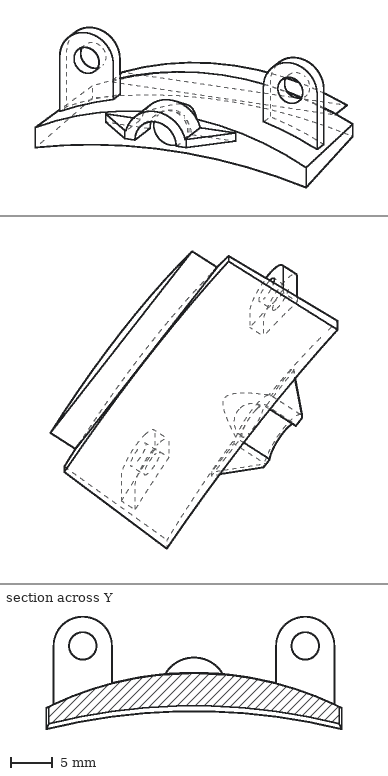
import cadquery as cq

body_length = 15.45
front_half_width = 17.65
front_corner_bottom = 0.0
front_corner_top = 2.55
front_crown = 6.78
back_half_width = 16.98
back_corner_bottom = 1.35
back_corner_top = 2.9
back_crown = 6.67
underside_rise = 2.15

tongue_length = 3.67
tongue_half_width = 14.65
tongue_bottom = 3.75

lug_spacing = 26.55
lug_radius = 3.5
lug_hole_radius = 1.62
lug_hole_height = 9.95
lug_front = 5.3
lug_thickness = 2.0
lug_root_height = 2.82

hub_length = 4.5
hub_outer_radius = 4.0
hub_inner_radius = 2.7
hub_axis_height = 4.6
hub_cone_length = 8.82
wing_thickness = 1.02
wing_half_span = hub_outer_radius + hub_length

socket_radius = 2.2
socket_height = 5.05


def plane_at(y):
    """XZ plane at the given Y whose extrusions run toward +Y."""
    return cq.Plane(origin=(0, y, 0), xDir=(-1, 0, 0), normal=(0, 1, 0))


def arched_section(y, half_width, corner_bottom, corner_top, crown):
    """Closed body section with arched top and underside."""
    section = (
        cq.Workplane(plane_at(y))
        .moveTo(-half_width, corner_bottom)
        .lineTo(-half_width, corner_top)
        .threePointArc((0, crown), (half_width, corner_top))
        .lineTo(half_width, corner_bottom)
        .threePointArc((0, corner_bottom + underside_rise), (-half_width, corner_bottom))
        .close()
    )
    return section.val()


def make_body():
    front = arched_section(0, front_half_width, front_corner_bottom, front_corner_top, front_crown)
    back = arched_section(
        body_length, back_half_width, back_corner_bottom, back_corner_top, back_crown
    )
    return cq.Workplane(cq.Solid.makeLoft([front, back], True))


def make_tongue():
    """Circular segment with a flat underside, behind the body."""
    return (
        cq.Workplane(plane_at(body_length))
        .moveTo(-tongue_half_width, tongue_bottom)
        .threePointArc((0, back_crown), (tongue_half_width, tongue_bottom))
        .close()
        .extrude(tongue_length)
    )


def make_lug(x):
    """Upright lug with a rounded top and a pin hole."""
    plane = cq.Plane(origin=(x, lug_front, 0), xDir=(-1, 0, 0), normal=(0, 1, 0))
    return (
        cq.Workplane(plane)
        .moveTo(-lug_radius, lug_root_height)
        .lineTo(-lug_radius, lug_hole_height)
        .threePointArc((0, lug_hole_height + lug_radius), (lug_radius, lug_hole_height))
        .lineTo(lug_radius, lug_root_height)
        .close()
        .moveTo(0, lug_hole_height)
        .circle(lug_hole_radius)
        .extrude(lug_thickness)
    )


def make_hub():
    """Half tube in front of the body."""
    return (
        cq.Workplane(plane_at(-hub_length))
        .moveTo(-hub_outer_radius, hub_axis_height)
        .threePointArc((0, hub_axis_height + hub_outer_radius), (hub_outer_radius, hub_axis_height))
        .lineTo(hub_inner_radius, hub_axis_height)
        .threePointArc((0, hub_axis_height + hub_inner_radius), (-hub_inner_radius, hub_axis_height))
        .close()
        .extrude(hub_length)
    )


def make_hub_cone():
    """Half cone fairing the hub into the crown of the body."""
    return (
        cq.Workplane("XY", origin=(0, 0, hub_axis_height))
        .moveTo(0, 0)
        .lineTo(hub_outer_radius, 0)
        .lineTo(0, hub_cone_length)
        .close()
        .revolve(180, (0, 0, 0), (0, -1, 0))
    )


def make_wings():
    """Triangular webs on both sides of the hub, clear of its bore."""
    webs = (
        cq.Workplane("XY", origin=(0, 0, hub_axis_height))
        .moveTo(-wing_half_span, 0)
        .lineTo(wing_half_span, 0)
        .lineTo(hub_outer_radius, -hub_length)
        .lineTo(-hub_outer_radius, -hub_length)
        .close()
        .extrude(wing_thickness)
    )
    bore = (
        cq.Workplane(plane_at(-hub_length))
        .center(0, hub_axis_height)
        .circle(hub_inner_radius)
        .extrude(hub_length)
    )
    return webs.cut(bore)


result = make_body().union(make_tongue())
for side in (-1, 1):
    result = result.union(make_lug(side * lug_spacing / 2))
result = result.union(make_hub_cone()).union(make_hub()).union(make_wings())

socket = cq.Workplane("XY", origin=(0, 0, socket_height)).sphere(socket_radius)
space_behind_front_face = cq.Workplane("XY").box(
    2 * front_half_width, body_length, 2 * front_half_width, centered=(True, False, True)
)
result = result.cut(socket.intersect(space_behind_front_face))